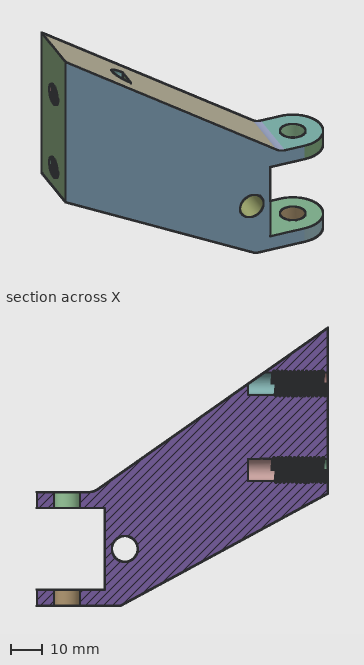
import cadquery as cq

length = 91.15
width = 19.05
height = 87.0

lug_radius = width / 2
lug_thickness = 5.0
lug_top = 35.55
lug_bore_diameter = 8.0
clevis_floor = 69.8
pivot_y = length - lug_radius

front_bottom = 35.1
lower_slope_end = 64.8
upper_slope_end = 73.3
blend_radius = 5.0

cross_hole_diameter = 8.0
cross_hole_y = 63.5
cross_hole_z = 17.8

front_hole_diameter = 6.8
front_hole_depth = 25.0
lower_front_hole_z = 42.5
front_hole_spacing = 27.0

thread_major_diameter = 8.0
thread_pitch = 1.3
thread_turns = 13
thread_start = thread_pitch / 2
groove_half_width = 0.4 * thread_pitch
groove_overlap = 0.1


def body():
    """Side outline in the YZ plane, extruded across the width."""
    outline = [
        (0, front_bottom),
        (lower_slope_end, 0),
        (length, 0),
        (length, lug_thickness),
        (clevis_floor, lug_thickness),
        (clevis_floor, lug_top - lug_thickness),
        (length, lug_top - lug_thickness),
        (length, lug_top),
        (upper_slope_end, lug_top),
        (0, height),
    ]
    block = cq.Workplane("YZ").polyline(outline).close().extrude(width / 2, both=True)
    slope_corner = cq.selectors.NearestToPointSelector((0, upper_slope_end, lug_top))
    return block.edges("|X").edges(slope_corner).fillet(blend_radius)


def rounded_envelope():
    """Plan outline with a full round at the lug end."""
    return (
        cq.Workplane("XY")
        .moveTo(-width / 2, 0)
        .lineTo(width / 2, 0)
        .lineTo(width / 2, pivot_y)
        .threePointArc((0, length), (-width / 2, pivot_y))
        .close()
        .extrude(height)
    )


def lug_bore():
    return cq.Workplane("XY").center(0, pivot_y).circle(lug_bore_diameter / 2).extrude(lug_top)


def cross_hole():
    return (
        cq.Workplane("YZ")
        .center(cross_hole_y, cross_hole_z)
        .circle(cross_hole_diameter / 2)
        .extrude(width / 2, both=True)
    )


def front_hole(z):
    return cq.Workplane("XZ").center(0, z).circle(front_hole_diameter / 2).extrude(-front_hole_depth)


def thread_groove(z):
    """Helical V-groove cut outward from the wall of a front hole."""
    root_radius = front_hole_diameter / 2 - groove_overlap
    helix = cq.Wire.makeHelix(thread_pitch, thread_turns * thread_pitch, root_radius)
    groove = (
        cq.Workplane("XZ")
        .polyline([
            (root_radius, -groove_half_width),
            (thread_major_diameter / 2, 0),
            (root_radius, groove_half_width),
        ])
        .close()
        .sweep(cq.Workplane(helix), isFrenet=True)
    )
    return groove.rotate((0, 0, 0), (1, 0, 0), -90).translate((0, thread_start, z))


result = body().intersect(rounded_envelope()).cut(lug_bore()).cut(cross_hole())
for hole_z in (lower_front_hole_z, lower_front_hole_z + front_hole_spacing):
    result = result.cut(front_hole(hole_z)).cut(thread_groove(hole_z))